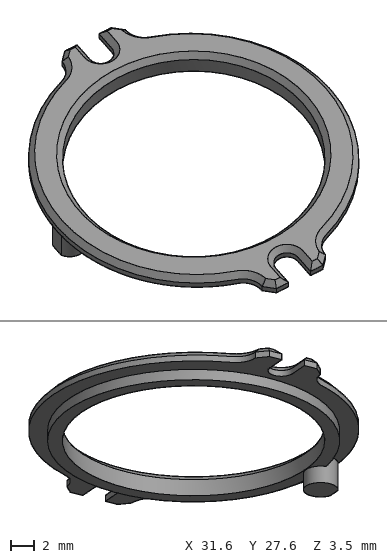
import cadquery as cq
import math

flange_arc_radius = 14.12
flange_arc_offset = 0.32
flange_short_radius = flange_arc_radius - flange_arc_offset
bore_radius = 11.005
plate_thickness = 1.05
edge_chamfer = 0.5

spigot_radius = 12.25
spigot_depth = 2.0
pin_depth = 3.5
pin_radius = 1.45
pin_x = -4.18
pin_y = -11.78

ear_axis_angle = 160.6
ear_tip = 15.95
ear_half_width = 3.2
ear_corner = 0.85
slot_half_width = 1.1
slot_center = 14.05

ear_shoulder = ear_tip - ear_corner
shoulder_rise = ear_half_width + flange_arc_offset
root_radius = (ear_shoulder**2 + shoulder_rise**2 - flange_arc_radius**2) / (
    2 * (flange_arc_radius - shoulder_rise)
)
root_rise = shoulder_rise + root_radius
root_angle = math.atan2(root_rise, ear_shoulder)
root_end = (
    flange_arc_radius * math.cos(root_angle),
    flange_arc_radius * math.sin(root_angle) - flange_arc_offset,
)
root_mid_angle = (math.pi + root_angle + 1.5 * math.pi) / 2
root_mid = (
    ear_shoulder + root_radius * math.cos(root_mid_angle),
    ear_half_width + root_radius + root_radius * math.sin(root_mid_angle),
)


def slot_cutter():
    """Slot along +X, round at its inner end and open at the ear tip."""
    return (
        cq.Workplane("XY")
        .moveTo(ear_tip, slot_half_width)
        .lineTo(slot_center, slot_half_width)
        .threePointArc((slot_center - slot_half_width, 0), (slot_center, -slot_half_width))
        .lineTo(ear_tip, -slot_half_width)
        .close()
        .extrude(-plate_thickness)
    )


def half_blank():
    """Solid of the +Y half of the flange with its two half ears."""
    return (
        cq.Workplane("XY")
        .moveTo(ear_tip, 0)
        .lineTo(ear_tip, ear_half_width - ear_corner)
        .lineTo(ear_shoulder, ear_half_width)
        .threePointArc(root_mid, root_end)
        .threePointArc((0, flange_short_radius), (-root_end[0], root_end[1]))
        .threePointArc((-root_mid[0], root_mid[1]), (-ear_shoulder, ear_half_width))
        .lineTo(-ear_tip, ear_half_width - ear_corner)
        .lineTo(-ear_tip, 0)
        .close()
        .extrude(-plate_thickness)
    )


def flange():
    """Plate with two opposite slotted ears, before the bore is cut."""
    half = half_blank()
    body = half.union(half.mirror("XZ")).clean()
    for angle in (0, 180):
        body = body.cut(slot_cutter().rotate((0, 0, 0), (0, 0, 1), angle))
    return body.rotate((0, 0, 0), (0, 0, 1), ear_axis_angle)


def spigot():
    """Shallow disc under the flange, turned into a ring by the bore."""
    height = spigot_depth - plate_thickness
    return cq.Workplane("XY", origin=(0, 0, -spigot_depth)).circle(spigot_radius).extrude(height)


def pin():
    """Locating pin, trimmed to the short radius of the flange."""
    height = pin_depth - plate_thickness
    base = cq.Workplane("XY", origin=(0, 0, -pin_depth))
    envelope = base.circle(flange_short_radius).extrude(height)
    return base.center(pin_x, pin_y).circle(pin_radius).extrude(height).intersect(envelope)


bore = cq.Workplane("XY").circle(bore_radius).extrude(-spigot_depth)
body = flange().union(spigot()).union(pin()).cut(bore)
result = body.faces(">Z").edges().chamfer(edge_chamfer)